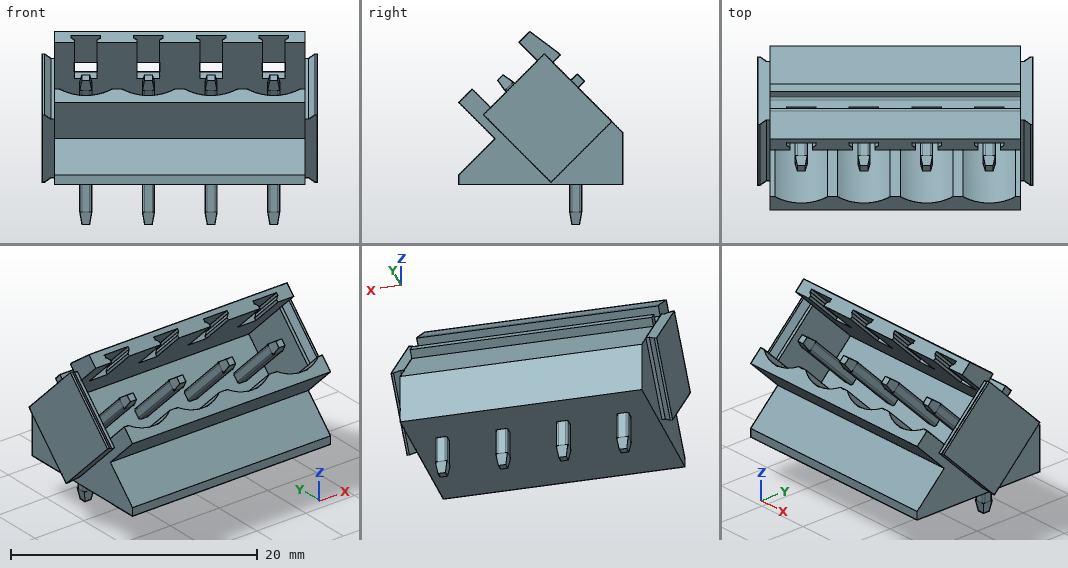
import cadquery as cq
import math

ROOT2 = math.sqrt(2)
U_DIR = cq.Vector(0, -1, 1) / ROOT2
V_DIR = cq.Vector(0, 1, 1) / ROOT2

pole_count = 4
body_width = 20.31
pitch = body_width / pole_count
pole_positions = [(i - (pole_count - 1) / 2) * pitch for i in range(pole_count)]

base_depth = 13.3
front_slope_u = 0.55

mouth_u = 4.7
floor_u = -3.7
lip_outer_v = 4.7
lip_inner_v = 6.25
wall_inner_v = 11.6
back_v = 12.39

hook_root_u = 1.6
hook_flat_end_u = 1.92
hook_height = 0.87
hook_mouth_height = 0.47

rail_bottom_u = -1.3
rail_top_u = -0.45
rail_height = 0.75
rail_fillet = 0.2

scallop_width = 4.26
scallop_depth = 0.74

slot_floor_u = 0.58
slot_width = 1.83
slot_wide_width = 2.39
slot_neck_depth = 0.25
slot_flare_depth = 0.54

overall_width = 22.32
plate_bottom_u = -5.15
plate_top_u = 2.6
plate_bottom_v = 5.42
plate_top_v = 12.4
plate_inset = 0.51
plate_neck_length = 0.3
plate_lip_thickness = 0.2

pin_width = 0.98
pin_edge_radius = 0.18
pin_tip_width = 0.62
pin_taper_length = 1.0
leg_y = 9.49
leg_bottom_z = -3.24
arm_v = 8.53
arm_tip_u = 3.75


def tilted(u, v):
    """(Y, Z) of a point given in the socket axes."""
    return ((v - u) / ROOT2, (v + u) / ROOT2)


def tilted_box(width, u_min, u_max, v_min, v_max):
    corners = [tilted(u_min, v_min), tilted(u_max, v_min), tilted(u_max, v_max), tilted(u_min, v_max)]
    return cq.Workplane("YZ").polyline(corners).close().extrude(width / 2, both=True)


def make_shell():
    outline = [
        (0, 0),
        (base_depth, 0),
        (base_depth, back_v * ROOT2 - base_depth),
        tilted(hook_root_u, back_v),
        tilted(hook_root_u, back_v + hook_height),
        tilted(hook_flat_end_u, back_v + hook_height),
        tilted(mouth_u, back_v + hook_mouth_height),
        tilted(mouth_u, lip_outer_v),
        tilted(front_slope_u, lip_outer_v),
        (0, front_slope_u * ROOT2),
    ]
    block = cq.Workplane("YZ").polyline(outline).close().extrude(body_width / 2, both=True)
    return block.cut(tilted_box(body_width, floor_u, mouth_u, lip_inner_v, wall_inner_v))


def make_rail():
    """Rail with a concave fillet where its upper side meets the back face."""
    rail_v = back_v + rail_height
    fillet_mid = rail_fillet * (1 - 1 / ROOT2)
    profile = (
        cq.Workplane("YZ")
        .moveTo(*tilted(rail_bottom_u, back_v))
        .lineTo(*tilted(rail_bottom_u, rail_v))
        .lineTo(*tilted(rail_top_u, rail_v))
        .lineTo(*tilted(rail_top_u, back_v + rail_fillet))
        .threePointArc(
            tilted(rail_top_u + fillet_mid, back_v + fillet_mid),
            tilted(rail_top_u + rail_fillet, back_v),
        )
        .close()
    )
    return profile.extrude(body_width / 2, both=True)


def mating_plane(x, u, v):
    """Plane facing along u, with X and v as its own axes."""
    return cq.Plane(origin=cq.Vector(x, 0, 0) + U_DIR * u + V_DIR * v, xDir=(1, 0, 0), normal=U_DIR)


def make_scallop(x):
    """Cylinder that hollows the inner face of the lower lip."""
    radius = (scallop_width**2 / 4 + scallop_depth**2) / (2 * scallop_depth)
    axis_v = lip_inner_v - scallop_depth + radius
    cylinder = cq.Workplane(mating_plane(x, floor_u, axis_v)).circle(radius).extrude(mouth_u - floor_u)
    return cylinder.intersect(tilted_box(body_width, floor_u, mouth_u, lip_outer_v, lip_inner_v))


def make_slot(x):
    """Slot through the back wall that flares out towards the back face."""
    right = [
        (slot_width / 2, 0),
        (slot_width / 2, slot_neck_depth),
        (slot_wide_width / 2, slot_flare_depth),
        (slot_wide_width / 2, back_v - wall_inner_v),
    ]
    left = [(-half_width, depth) for half_width, depth in reversed(right)]
    plane = mating_plane(x, slot_floor_u, wall_inner_v)
    return cq.Workplane(plane).polyline(right + left).close().extrude(mouth_u - slot_floor_u)


def make_end_plate(side):
    """Plate at one end (side = 1 or -1), flaring out from a neck to a lip along u."""
    inner_x = body_width / 2
    neck_x = inner_x + plate_neck_length
    lip_x = overall_width / 2 - plate_lip_thickness
    outer_x = overall_width / 2
    outline = [
        (inner_x, plate_bottom_u + plate_inset),
        (neck_x, plate_bottom_u + plate_inset),
        (lip_x, plate_bottom_u),
        (outer_x, plate_bottom_u),
        (outer_x, plate_top_u),
        (lip_x, plate_top_u),
        (neck_x, plate_top_u - plate_inset),
        (inner_x, plate_top_u - plate_inset),
    ]
    plane = cq.Plane(origin=V_DIR * plate_top_v, xDir=(1, 0, 0), normal=-V_DIR)
    points = [(side * x, u) for x, u in outline]
    return cq.Workplane(plane).polyline(points).close().extrude(plate_top_v - plate_bottom_v)


def make_tip(shank_end, direction):
    """Square tapered tip on the end of a shank."""
    plane = cq.Plane(origin=shank_end, xDir=(1, 0, 0), normal=direction)
    return (
        cq.Workplane(plane)
        .rect(pin_width, pin_width)
        .workplane(offset=pin_taper_length)
        .rect(pin_tip_width, pin_tip_width)
        .loft()
    )


def make_pin(x):
    """Bent pin: a vertical leg, then an arm along u, with rounded long edges."""
    leg_end = cq.Vector(x, leg_y, leg_bottom_z + pin_taper_length)
    bend = cq.Vector(x, leg_y, arm_v * ROOT2 - leg_y)
    arm_end = cq.Vector(x, 0, 0) + U_DIR * (arm_tip_u - pin_taper_length) + V_DIR * arm_v
    section = cq.Sketch().rect(pin_width, pin_width).vertices().fillet(pin_edge_radius)
    path = cq.Workplane("XY").polyline([leg_end, bend, arm_end])
    shank = cq.Workplane("XY", origin=leg_end.toTuple()).placeSketch(section).sweep(path, transition="right")
    leg_tip = make_tip(leg_end, cq.Vector(0, 0, -1))
    arm_tip = make_tip(arm_end, U_DIR)
    return shank.union(leg_tip).union(arm_tip)


def make_housing(pins):
    housing = make_shell().union(make_rail())
    for side in (-1, 1):
        housing = housing.union(make_end_plate(side))
    for x in pole_positions:
        housing = housing.cut(make_scallop(x)).cut(make_slot(x))
    for pin in pins:
        housing = housing.cut(pin)
    return housing


pins = [make_pin(x) for x in pole_positions]
housing = make_housing(pins)

result = cq.Compound.makeCompound([housing.val(), *[pin.val() for pin in pins]])